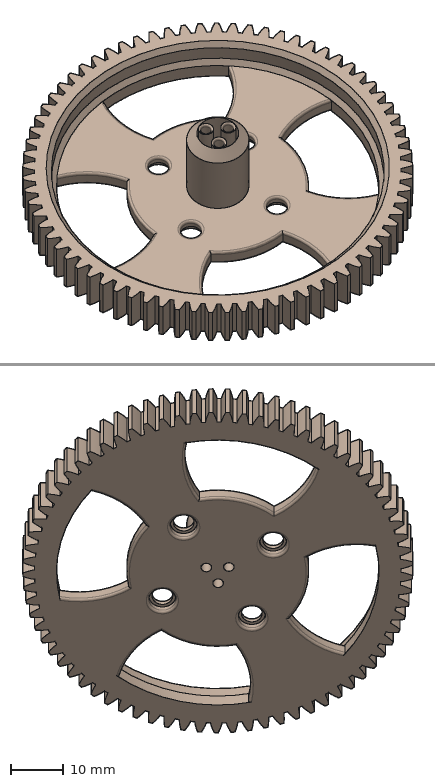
import cadquery as cq
import math

tooth_count = 73
gear_module = 1.0
pressure_angle = math.radians(20)
pitch_radius = gear_module * tooth_count / 2
tip_radius = pitch_radius + gear_module
root_clearance = 0.25 * gear_module
root_radius = pitch_radius - gear_module - root_clearance
base_radius = pitch_radius * math.cos(pressure_angle)
flank_steps = 4

rim_height = 8.0
rim_bore_radius = 32.0
rim_chamfer = 1.0
web_thickness = 3.0
window_outer_radius = rim_bore_radius - rim_chamfer

spoke_count = 4
center_disc_radius = 17.5
spoke_half_width = 6.0
spoke_side_radius = 17.5
spoke_side_center_offset = 16.9
window_edge_fillet = 0.5

bolt_hole_diameter = 4.0
bolt_counterbore_diameter = 5.2
bolt_counterbore_depth = 1.6
bolt_circle_radius = 12.5
bolt_edge_fillet = 0.5

total_height = 18.0
hub_diameter = 12.0
hub_chamfer = 2.0
pocket_radius = hub_diameter / 2 - hub_chamfer
pocket_floor = web_thickness
tube_count = 3
tube_circle_radius = 2.5
tube_bore_diameter = 2.0
tube_diameter = 2.9
tube_mouth_fillet = (tube_diameter - tube_bore_diameter) / 2
collar_diameter = 3.7
collar_height = 1.0
collar_fillet = 0.5


def polar(radius, angle):
    return (radius * math.cos(angle), radius * math.sin(angle))


def arc_inset(radius):
    """Distance of a quarter round's midpoint from each of the faces it joins."""
    return radius * (1 - math.sqrt(0.5))


def cylinder(diameter, bottom, top):
    return cq.Workplane("XY").workplane(offset=bottom).circle(diameter / 2).extrude(top - bottom)


def involute(angle):
    return math.tan(angle) - angle


def flank_half_angle(radius):
    """Half the angle that a tooth spans at the given radius."""
    half_at_pitch = math.pi / (2 * tooth_count)
    roll = math.acos(min(1.0, base_radius / radius))
    return half_at_pitch + involute(pressure_angle) - involute(roll)


def make_gear_blank():
    """Toothed disc with involute flanks; one tooth is centred on +Y."""
    pitch_angle = 2 * math.pi / tooth_count
    radii = [root_radius + (tip_radius - root_radius) * i / flank_steps for i in range(flank_steps + 1)]
    outline = cq.Workplane("XY").moveTo(*polar(root_radius, math.pi / 2 - flank_half_angle(root_radius)))
    for tooth in range(tooth_count):
        center = math.pi / 2 + tooth * pitch_angle
        rising = [polar(r, center - flank_half_angle(r)) for r in radii]
        falling = [polar(r, center + flank_half_angle(r)) for r in reversed(radii)]
        next_center = center + pitch_angle
        next_root = polar(root_radius, next_center - flank_half_angle(root_radius))
        outline = outline.spline(rising[1:], includeCurrent=True)
        outline = outline.threePointArc(polar(tip_radius, center), falling[0])
        outline = outline.spline(falling[1:], includeCurrent=True)
        outline = outline.threePointArc(polar(root_radius, center + pitch_angle / 2), next_root)
    return outline.close().extrude(rim_height)


def make_rim_recess():
    """Turned recess above the web, sloped at its floor and at its mouth."""
    profile = [
        (0, web_thickness),
        (rim_bore_radius - rim_chamfer, web_thickness),
        (rim_bore_radius, web_thickness + rim_chamfer),
        (rim_bore_radius, rim_height - rim_chamfer),
        (rim_bore_radius + rim_chamfer, rim_height),
        (0, rim_height),
    ]
    return cq.Workplane("XZ").polyline(profile).close().revolve(360, (0, 0), (0, 1))


def make_round_cutter(radius, fillet):
    """Cutter through the web that leaves rounded edges on both of its faces."""
    bend = arc_inset(fillet)
    profile = cq.Workplane("XZ").lineTo(radius + fillet, 0)
    profile = profile.threePointArc((radius + bend, bend), (radius, fillet))
    profile = profile.lineTo(radius, web_thickness - fillet)
    profile = profile.threePointArc((radius + bend, web_thickness - bend), (radius + fillet, web_thickness))
    return profile.lineTo(0, web_thickness).close().revolve(360, (0, 0), (0, 1))


def make_window():
    """One opening in the +X +Y quadrant, bounded by the disc, the rim and two spoke sides."""
    side_center = spoke_half_width + spoke_side_radius
    side = make_round_cutter(spoke_side_radius, window_edge_fillet)
    center_disc = cylinder(2 * center_disc_radius, 0, web_thickness)
    center_disc = center_disc.edges().fillet(window_edge_fillet)
    window = side.translate((spoke_side_center_offset, side_center, 0))
    window = window.intersect(side.translate((side_center, spoke_side_center_offset, 0)))
    window = window.intersect(cylinder(2 * window_outer_radius, 0, web_thickness))
    return window.cut(center_disc)


def make_bolt_hole():
    """Through hole rounded at the top, with a counterbore rounded at the underside."""
    through = make_round_cutter(bolt_hole_diameter / 2, bolt_edge_fillet)
    upper = through.intersect(cylinder(hub_diameter, bolt_counterbore_depth, web_thickness))
    counterbore = make_round_cutter(bolt_counterbore_diameter / 2, bolt_edge_fillet)
    lower = counterbore.intersect(cylinder(hub_diameter, 0, bolt_counterbore_depth))
    return upper.union(lower)


def make_web():
    """Spoked web with its windows and bolt holes, reaching into the rim."""
    web = cylinder(2 * rim_bore_radius, 0, web_thickness)
    window = make_window()
    hole = make_bolt_hole().translate((bolt_circle_radius, 0, 0))
    for index in range(spoke_count):
        turn = index * 360 / spoke_count
        web = web.cut(window.rotate((0, 0, 0), (0, 0, 1), turn))
        web = web.cut(hole.rotate((0, 0, 0), (0, 0, 1), turn))
    return web


def make_tube():
    """Tube on a wider collar whose foot is rounded into the pocket floor."""
    tube_radius = tube_diameter / 2
    collar_radius = collar_diameter / 2
    foot_radius = collar_radius + collar_fillet
    bend = arc_inset(collar_fillet)
    profile = cq.Workplane("XZ").lineTo(foot_radius, 0).lineTo(foot_radius, pocket_floor)
    profile = profile.threePointArc(
        (collar_radius + bend, pocket_floor + bend),
        (collar_radius, pocket_floor + collar_fillet),
    )
    profile = profile.lineTo(collar_radius, pocket_floor + collar_height)
    profile = profile.lineTo(tube_radius, pocket_floor + collar_height)
    profile = profile.lineTo(tube_radius, total_height).lineTo(0, total_height)
    return profile.close().revolve(360, (0, 0), (0, 1))


def make_tube_bore():
    """Cutter for a bore through the whole part with a rounded mouth at the tube top."""
    radius = tube_bore_diameter / 2
    bend = arc_inset(tube_mouth_fillet)
    profile = cq.Workplane("XZ").lineTo(radius, 0).lineTo(radius, total_height - tube_mouth_fillet)
    profile = profile.threePointArc(
        (radius + bend, total_height - bend),
        (radius + tube_mouth_fillet, total_height),
    )
    return profile.lineTo(0, total_height).close().revolve(360, (0, 0), (0, 1))


def make_hub():
    """Hollow hub holding the tubes, running down through the web."""
    outer = cylinder(hub_diameter, 0, total_height).faces(">Z").chamfer(hub_chamfer)
    hub = outer.cut(cylinder(2 * pocket_radius, pocket_floor, total_height))
    tube = make_tube()
    bore = make_tube_bore()
    angles = [math.pi + index * 2 * math.pi / tube_count for index in range(tube_count)]
    for angle in angles:
        x, y = polar(tube_circle_radius, angle)
        hub = hub.union(tube.translate((x, y, 0)).intersect(outer))
    for angle in angles:
        x, y = polar(tube_circle_radius, angle)
        hub = hub.cut(bore.translate((x, y, 0)))
    return hub


def make_part():
    rim = make_gear_blank()
    rim = rim.cut(cylinder(2 * window_outer_radius, 0, web_thickness))
    rim = rim.cut(make_rim_recess())
    web = make_web().cut(cylinder(hub_diameter, 0, web_thickness))
    return rim.union(web.union(make_hub()))


result = make_part()